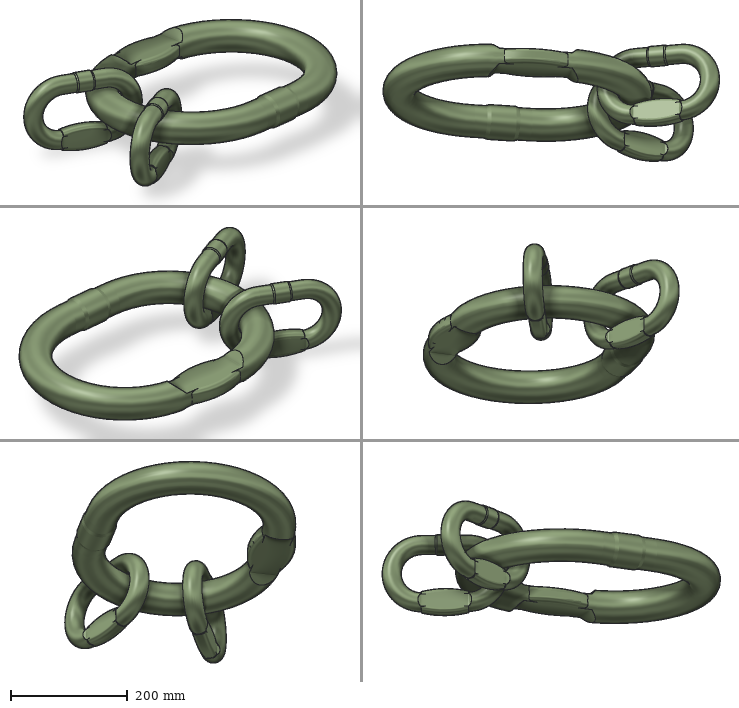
import cadquery as cq
import math

MASTER_WIRE_DIA = 56.0
MASTER_INNER_WIDTH = 250.0
MASTER_INNER_LENGTH = 350.0
MASTER_COLLAR_LENGTH = 57.4
MASTER_COLLAR_TAPER = 6.7
MASTER_FLAT_THICKNESS = MASTER_WIRE_DIA / 2
MASTER_FLAT_LENGTH = 127.0
MASTER_FLAT_BEND_RADIUS = 2.5
MASTER_BULGE_LENGTH = 110.0
MASTER_BULGE_WIDTH = 78.2
MASTER_BULGE_END_WIDTH = 55.6
MASTER_BULGE_FILLET = 9.0

SUB_WIRE_DIA = 33.0
SUB_INNER_WIDTH = 70.0
SUB_INNER_LENGTH = 150.0
SUB_COLLAR_LENGTH = 33.0
SUB_COLLAR_TAPER = 3.0
SUB_FLAT_THICKNESS = 24.6
SUB_FLAT_LENGTH = 83.6
SUB_FLAT_BEND_RADIUS = 4.5
SUB_BULGE_LENGTH = 81.2
SUB_BULGE_WIDTH = 45.7
SUB_BULGE_END_WIDTH = 35.4
SUB_BULGE_FILLET = 8.2

COLLAR_DIA_RATIO = 1.075

SUB_TILT = 25.4
SUB_NEAR_RADIUS = 107.65


def make_wire_loop(wire_dia, pitch_width, straight_length):
    """Round wire swept along a racetrack path in the XY plane."""
    half_width = pitch_width / 2
    half_straight = straight_length / 2
    path = (
        cq.Workplane("XY")
        .moveTo(half_width, 0)
        .lineTo(half_width, half_straight)
        .threePointArc((0, half_straight + half_width), (-half_width, half_straight))
        .lineTo(-half_width, -half_straight)
        .threePointArc((0, -half_straight - half_width), (half_width, -half_straight))
        .close()
    )
    return cq.Workplane("XZ").center(half_width, 0).circle(wire_dia / 2).sweep(path)


def make_collar(wire_dia, length, taper):
    """Sleeve around the wire along Y, with a tapered shoulder at each end."""
    wire_radius = wire_dia / 2
    collar_radius = COLLAR_DIA_RATIO * wire_radius
    end = length / 2
    shoulder = end - taper
    return (
        cq.Workplane("XY")
        .polyline([
            (0, -end),
            (wire_radius, -end),
            (collar_radius, -shoulder),
            (collar_radius, shoulder),
            (wire_radius, end),
            (0, end),
        ])
        .close()
        .revolve(360, (0, 0, 0), (0, 1, 0))
    )


def make_flat_cutter(wire_dia, thickness, length, bend_radius):
    """Trapezoid above the flat, with 45 degree ends; it mills one face of the grip."""
    flat_z = thickness / 2
    top_z = wire_dia
    half_length = length / 2
    half_top = half_length + top_z - flat_z
    return (
        cq.Workplane("YZ")
        .polyline([
            (-half_length, flat_z),
            (half_length, flat_z),
            (half_top, top_z),
            (-half_top, top_z),
        ])
        .close()
        .extrude(wire_dia, both=True)
        .edges("<Z and |X")
        .fillet(bend_radius)
    )


def make_bulge(thickness, length, width, end_width, fillet):
    """Lens-shaped plate squeezed out sideways by the flattening, with rounded rims."""
    half_length = length / 2
    half_width = width / 2
    half_end = end_width / 2
    return (
        cq.Workplane("XY")
        .moveTo(half_end, -half_length)
        .threePointArc((half_width, 0), (half_end, half_length))
        .lineTo(-half_end, half_length)
        .threePointArc((-half_width, 0), (-half_end, -half_length))
        .close()
        .extrude(thickness / 2, both=True)
        .edges("%CIRCLE")
        .fillet(fillet)
    )


def make_link(wire_dia, inner_width, inner_length, collar, cutter, bulge):
    """Link in the XY plane, long along Y: collar on the +X side, flattened grip on the -X side."""
    pitch_width = inner_width + wire_dia
    side = pitch_width / 2
    link = make_wire_loop(wire_dia, pitch_width, inner_length - inner_width)
    link = link.union(collar.translate((side, 0, 0)))
    grip_cutter = cutter.translate((-side, 0, 0))
    link = link.cut(grip_cutter).cut(grip_cutter.mirror("XY"))
    return link.union(bulge.translate((-side, 0, 0)))


def place_sub_link(link, side):
    """Stand the link upright, collar up, and tilt it outward (side: -1 left, +1 right)."""
    tilt = math.radians(SUB_TILT)
    bend_centre_y = -(MASTER_INNER_LENGTH - MASTER_INNER_WIDTH) / 2
    centre_radius = SUB_NEAR_RADIUS + (SUB_INNER_LENGTH + SUB_WIRE_DIA) / 2
    origin = (
        side * centre_radius * math.sin(tilt),
        bend_centre_y - centre_radius * math.cos(tilt),
        0,
    )
    link_normal = (math.cos(tilt), side * math.sin(tilt), 0)
    plane = cq.Plane(origin=origin, xDir=(0, 0, 1), normal=link_normal)
    return link.val().moved(cq.Location(plane))


master_link = make_link(
    MASTER_WIRE_DIA,
    MASTER_INNER_WIDTH,
    MASTER_INNER_LENGTH,
    make_collar(MASTER_WIRE_DIA, MASTER_COLLAR_LENGTH, MASTER_COLLAR_TAPER),
    make_flat_cutter(
        MASTER_WIRE_DIA, MASTER_FLAT_THICKNESS, MASTER_FLAT_LENGTH, MASTER_FLAT_BEND_RADIUS
    ),
    make_bulge(
        MASTER_FLAT_THICKNESS,
        MASTER_BULGE_LENGTH,
        MASTER_BULGE_WIDTH,
        MASTER_BULGE_END_WIDTH,
        MASTER_BULGE_FILLET,
    ),
)

sub_link = make_link(
    SUB_WIRE_DIA,
    SUB_INNER_WIDTH,
    SUB_INNER_LENGTH,
    make_collar(SUB_WIRE_DIA, SUB_COLLAR_LENGTH, SUB_COLLAR_TAPER),
    make_flat_cutter(SUB_WIRE_DIA, SUB_FLAT_THICKNESS, SUB_FLAT_LENGTH, SUB_FLAT_BEND_RADIUS),
    make_bulge(
        SUB_FLAT_THICKNESS,
        SUB_BULGE_LENGTH,
        SUB_BULGE_WIDTH,
        SUB_BULGE_END_WIDTH,
        SUB_BULGE_FILLET,
    ),
)

sub_links = [place_sub_link(sub_link, side) for side in (-1, 1)]

result = cq.Compound.makeCompound([master_link.val(), *sub_links])